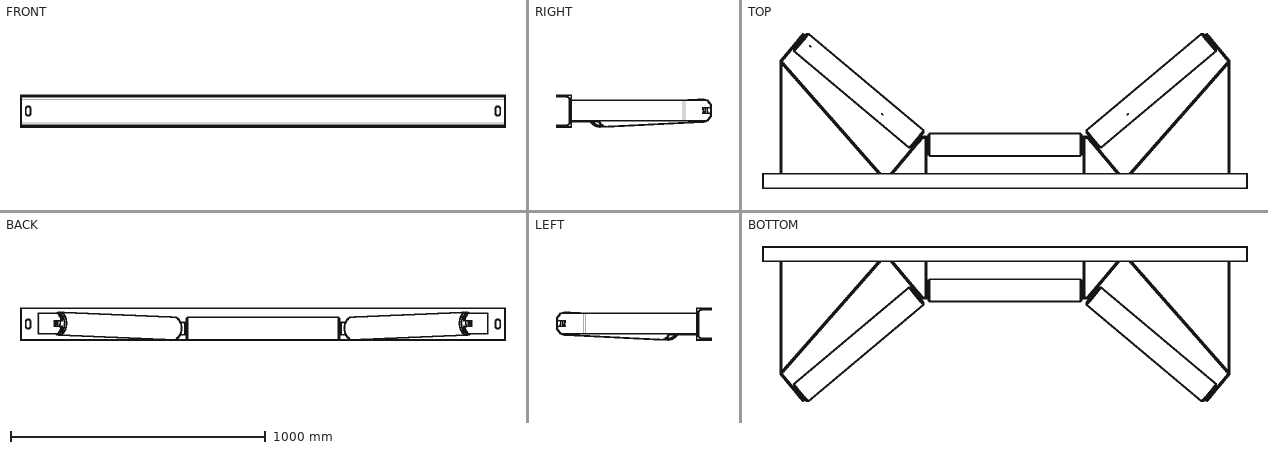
import cadquery as cq
import math


channel_length = 1900.0
channel_height = 125.0
flange_depth = 57.0
channel_wall = 8.0
channel_fillet = 10.0
slot_width = 18.0
slot_length = 36.0
slot_end_distance = 28.0

strip_thickness = 6.0
weld_overlap = channel_wall / 2
trough_angle = 40.0

post_width = 82.0
post_z = 2.0
post_x = 880.0
bend_y = 498.0
bend_radius = 11.0
overall_depth = 606.0
head_chamfer = 19.0
brace_width = 50.0
brace_foot_x = 488.0

inner_width = 50.0
inner_z = -18.0
inner_post_x = 310.0
inner_top_y = 203.0
inner_flat_length = 15.0

roller_diameter = 90.0
roller_length = 600.0
roller_chamfer = 5.0
axle_size = 23.0
center_axle_y = 171.0
axle_tip_distance = 30.0

half_strip = strip_thickness / 2
weld_y = flange_depth - weld_overlap
sin_trough = math.sin(math.radians(trough_angle))
cos_trough = math.cos(math.radians(trough_angle))

head_length = (overall_depth - half_strip * sin_trough - bend_y) / cos_trough
head_tip = (post_x - head_length * sin_trough, bend_y + head_length * cos_trough)
top_y = inner_top_y - half_strip
leg_top = (inner_post_x + inner_flat_length, top_y)
leg_foot = (leg_top[0] + (top_y - weld_y) * sin_trough / cos_trough, weld_y)

axle_head_end = (head_tip[0] + axle_tip_distance * sin_trough, head_tip[1] - axle_tip_distance * cos_trough)
wing_span = (head_tip[0] - leg_top[0]) * cos_trough + (head_tip[1] - leg_top[1]) * sin_trough
wing_center = (
    axle_head_end[0] - wing_span / 2 * cos_trough,
    axle_head_end[1] - wing_span / 2 * sin_trough,
    (post_z + inner_z) / 2,
)
wing_tilt = math.degrees(math.atan2(post_z - inner_z, wing_span))
wing_axle_length = wing_span + strip_thickness
center_axle_length = 2 * (inner_post_x + half_strip)


def both_sides(body):
    """The body on the +X side and its mirror image on the -X side."""
    return [body, body.mirror("YZ")]


def side_points(points, offset):
    """Points of a centre line moved sideways by the offset, with mitred corners."""
    turns = [math.atan2(q[1] - p[1], q[0] - p[0]) for p, q in zip(points, points[1:])]
    moved = []
    for point, before, after in zip(points, turns[:1] + turns, turns + turns[-1:]):
        normal = (before + after) / 2 + math.pi / 2
        reach = offset / math.cos((after - before) / 2)
        moved.append((point[0] + reach * math.cos(normal), point[1] + reach * math.sin(normal)))
    return moved


def strip(points, width, z_mid):
    """Bent flat strip along a centre line in XY, with its width centred on z_mid."""
    outline = side_points(points, half_strip) + side_points(points, -half_strip)[::-1]
    sheet = cq.Workplane("XY").polyline(outline).close().extrude(width)
    return sheet.translate((0, 0, z_mid - width / 2))


def place_wing(body):
    """Move a body lying along X at the origin to the +X outer roller's place."""
    tilted = body.rotate((0, 0, 0), (0, 1, 0), -wing_tilt)
    return tilted.rotate((0, 0, 0), (0, 0, 1), trough_angle).translate(wing_center)


def place_center(body):
    return body.translate((0, center_axle_y, inner_z))


def along_x(profile, length):
    """Extrude a YZ profile along X, centred on X = 0."""
    return profile.extrude(length).translate((-length / 2, 0, 0))


def make_axle(length):
    return cq.Workplane("XY").box(length, axle_size, axle_size)


def make_roller():
    tube = along_x(cq.Workplane("YZ").circle(roller_diameter / 2), roller_length)
    tube = tube.faces("<X or >X").edges().chamfer(roller_chamfer)
    return tube.cut(make_axle(roller_length))


def make_channel():
    block = cq.Workplane("XY").box(channel_length, flange_depth, channel_height)
    opening = cq.Workplane("XY").box(channel_length, flange_depth, channel_height - 2 * channel_wall)
    opening = opening.edges("|X and >Y").fillet(channel_fillet).translate((0, -channel_wall, 0))
    channel = block.cut(opening).translate((0, flange_depth / 2, 0))
    slot_x = channel_length / 2 - slot_end_distance
    slots = (
        cq.Workplane("XZ").pushPoints([(-slot_x, 0), (slot_x, 0)])
        .slot2D(slot_length, slot_width, 90).extrude(-flange_depth)
    )
    return channel.cut(slots)


def make_outer_bracket():
    """Post and head in one bent strip, with the corners of the head's tip cut off."""
    points = [(post_x, weld_y), (post_x, bend_y), head_tip]
    bracket = strip(points, post_width, post_z)
    for offset, radius in ((half_strip, bend_radius - strip_thickness), (-half_strip, bend_radius)):
        corner = side_points(points, offset)[1]
        bracket = bracket.edges(cq.NearestToPointSelector((*corner, post_z))).fillet(radius)
    for edge_z in (post_z - post_width / 2, post_z + post_width / 2):
        tip_corner = cq.NearestToPointSelector((*head_tip, edge_z))
        bracket = bracket.edges(tip_corner).chamfer(head_chamfer)
    return bracket


def make_brace():
    return strip([(brace_foot_x, weld_y), (post_x, bend_y)], brace_width, post_z)


def make_inner_bracket():
    return strip([(inner_post_x, weld_y), (inner_post_x, top_y), leg_top, leg_foot], inner_width, inner_z)


def make_head_slot():
    """Cutter for the head's slot, from the axle to past the tip."""
    slot = cq.Workplane("XY").box(2 * strip_thickness, 2 * axle_tip_distance, axle_size)
    return place_wing(slot.translate((wing_span / 2, axle_tip_distance, 0)))


wing_axles = both_sides(place_wing(make_axle(wing_axle_length)))
wing_rollers = both_sides(place_wing(make_roller()))
center_axle = place_center(make_axle(center_axle_length))
center_roller = place_center(make_roller())
axles = [center_axle, *wing_axles]
rollers = [center_roller, *wing_rollers]

frame = make_channel()
for part in (make_outer_bracket(), make_brace(), make_inner_bracket()):
    for copy in both_sides(part):
        frame = frame.union(copy)
for cutter in both_sides(make_head_slot()) + axles:
    frame = frame.cut(cutter)

result = cq.Compound.makeCompound([body.val() for body in [frame, *rollers, *axles]])